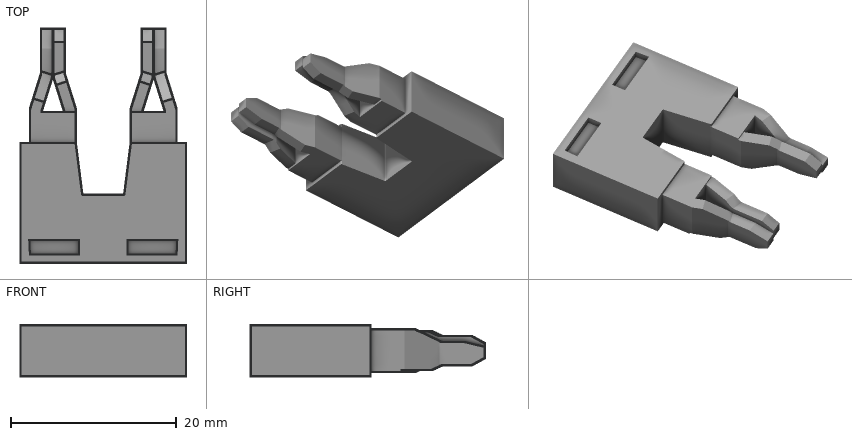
import cadquery as cq
import math

HOUSING_WIDTH = 20.0
HOUSING_LENGTH = 14.45
HOUSING_HEIGHT = 6.2
SLOT_FLOOR_Y = 8.22
SLOT_FLOOR_HALF_WIDTH = 2.51
SLOT_MOUTH_HALF_WIDTH = 3.3
SLOT_CORNER_RADIUS = 0.15

WINDOW_INNER_X = 2.95
WINDOW_OUTER_FRONT_X = 8.85
WINDOW_OUTER_BACK_X = 8.93
WINDOW_FRONT_Y = 1.0
WINDOW_BACK_Y = 2.77
WINDOW_DEPTH = 1.0

CONTACT_CENTRE_X = 6.07
CONTACT_HALF_WIDTH = 2.77
CONTACT_HALF_HEIGHT = 2.6
CONTACT_EMBED_DEPTH = 1.4
CONTACT_ROOT_Y = HOUSING_LENGTH - CONTACT_EMBED_DEPTH
FORK_FLOOR_Y = 18.2
TIP_Y = 28.25

LEG_HALF_GAP = 0.042
LEG_TIP_OUTER = 1.45
TIP_BEND_Y = 22.8
ROOT_BEND_Y = 18.55
INNER_BEND_END_Y = 22.95
INNER_BEND_START_Y = 22.25
LEG_THICKNESS = 1.45

STRONG_EDGE_TIP_Z = 0.45
STRONG_EDGE_MIDDLE_Z = 1.05
WEAK_EDGE_TIP_Z = 0.9
WEAK_EDGE_MIDDLE_Z = 1.78
WEAK_EDGE_ROOT_Z = 2.35
STRONG_TIP_TAPER_LENGTH = 2.45
WEAK_TIP_TAPER_LENGTH = 1.6

SLANT_TAPER_START = -0.28
STRONG_SLANT_TAPER_END = 3.14
WEAK_SLANT_TAPER_END = 0.95

CLEARANCE = 8.48

slant_angle = math.atan2(CONTACT_HALF_WIDTH - LEG_TIP_OUTER, TIP_BEND_Y - ROOT_BEND_Y)


def make_housing():
    block = cq.Workplane("XY").box(
        HOUSING_WIDTH, HOUSING_LENGTH, HOUSING_HEIGHT, centered=(True, False, True)
    )
    slot = (
        cq.Workplane("XY")
        .workplane(offset=-HOUSING_HEIGHT / 2)
        .moveTo(-SLOT_MOUTH_HALF_WIDTH, HOUSING_LENGTH)
        .lineTo(-SLOT_FLOOR_HALF_WIDTH, SLOT_FLOOR_Y)
        .lineTo(SLOT_FLOOR_HALF_WIDTH, SLOT_FLOOR_Y)
        .lineTo(SLOT_MOUTH_HALF_WIDTH, HOUSING_LENGTH)
        .close()
        .extrude(HOUSING_HEIGHT)
    )
    around_slot = cq.selectors.BoxSelector(
        (-HOUSING_WIDTH / 4, SLOT_FLOOR_Y - SLOT_CORNER_RADIUS, -HOUSING_HEIGHT),
        (HOUSING_WIDTH / 4, HOUSING_LENGTH + SLOT_CORNER_RADIUS, HOUSING_HEIGHT),
    )
    return block.cut(slot).edges("|Z").edges(around_slot).fillet(SLOT_CORNER_RADIUS)


def make_window():
    """Pocket on the +X side, open at the top face."""
    return (
        cq.Workplane("XY")
        .workplane(offset=HOUSING_HEIGHT / 2 - WINDOW_DEPTH)
        .moveTo(WINDOW_INNER_X, WINDOW_FRONT_Y)
        .lineTo(WINDOW_OUTER_FRONT_X, WINDOW_FRONT_Y)
        .lineTo(WINDOW_OUTER_BACK_X, WINDOW_BACK_Y)
        .lineTo(WINDOW_INNER_X, WINDOW_BACK_Y)
        .close()
        .extrude(WINDOW_DEPTH)
    )


def make_leg_plan():
    """Full-height leg with a straight tip and a stretch slanting outward to the root."""

    def slanted_inner_face(y):
        outer = LEG_TIP_OUTER + (TIP_BEND_Y - y) * math.tan(slant_angle)
        return outer - LEG_THICKNESS / math.cos(slant_angle)

    return (
        cq.Workplane("XY")
        .moveTo(LEG_HALF_GAP, TIP_Y)
        .lineTo(LEG_HALF_GAP, INNER_BEND_END_Y)
        .lineTo(slanted_inner_face(INNER_BEND_START_Y), INNER_BEND_START_Y)
        .lineTo(slanted_inner_face(FORK_FLOOR_Y), FORK_FLOOR_Y)
        .lineTo(CONTACT_HALF_WIDTH, FORK_FLOOR_Y)
        .lineTo(CONTACT_HALF_WIDTH, ROOT_BEND_Y)
        .lineTo(LEG_TIP_OUTER, TIP_BEND_Y)
        .lineTo(LEG_TIP_OUTER, TIP_Y)
        .close()
        .extrude(CONTACT_HALF_HEIGHT, both=True)
    )


def make_slant_profile():
    """Side profile of the slanted stretch, swept square to its slanted faces."""
    slant_plane = cq.Plane(
        origin=(LEG_TIP_OUTER, TIP_BEND_Y, 0),
        xDir=(math.sin(slant_angle), -math.cos(slant_angle), 0),
        normal=(math.cos(slant_angle), math.sin(slant_angle), 0),
    )
    return (
        cq.Workplane(slant_plane)
        .moveTo(-CLEARANCE, -STRONG_EDGE_MIDDLE_Z)
        .lineTo(SLANT_TAPER_START, -STRONG_EDGE_MIDDLE_Z)
        .lineTo(STRONG_SLANT_TAPER_END, -CONTACT_HALF_HEIGHT)
        .lineTo(CLEARANCE, -CONTACT_HALF_HEIGHT)
        .lineTo(CLEARANCE, WEAK_EDGE_ROOT_Z)
        .lineTo(WEAK_SLANT_TAPER_END, WEAK_EDGE_ROOT_Z)
        .lineTo(SLANT_TAPER_START, WEAK_EDGE_MIDDLE_Z)
        .lineTo(-CLEARANCE, WEAK_EDGE_MIDDLE_Z)
        .close()
        .extrude(CLEARANCE, both=True)
    )


def make_tip_taper(tip_z, middle_z, length):
    """Wedge removed from one edge of the tip; a negative height is the lower edge."""
    return (
        cq.Workplane("YZ")
        .moveTo(TIP_Y, tip_z)
        .lineTo(TIP_Y, middle_z)
        .lineTo(TIP_Y - length, middle_z)
        .close()
        .extrude(LEG_TIP_OUTER)
    )


def make_leg():
    """Leg on the +X side of the fork, with its strong taper on top."""
    strong_taper = make_tip_taper(STRONG_EDGE_TIP_Z, STRONG_EDGE_MIDDLE_Z, STRONG_TIP_TAPER_LENGTH)
    weak_taper = make_tip_taper(-WEAK_EDGE_TIP_Z, -WEAK_EDGE_MIDDLE_Z, WEAK_TIP_TAPER_LENGTH)
    return make_leg_plan().intersect(make_slant_profile()).cut(strong_taper).cut(weak_taper)


def make_contact():
    """Contact on the +X side; its inner leg is the outer one turned half a turn about Y."""
    root = cq.Workplane("XY").box(
        2 * CONTACT_HALF_WIDTH,
        FORK_FLOOR_Y - CONTACT_ROOT_Y,
        2 * CONTACT_HALF_HEIGHT,
        centered=(True, False, True),
    ).translate((0, CONTACT_ROOT_Y, 0))
    outer_leg = make_leg()
    inner_leg = outer_leg.rotate((0, 0, 0), (0, 1, 0), 180)
    return root.union(outer_leg).union(inner_leg).translate((CONTACT_CENTRE_X, 0, 0))


window = make_window()
contact = make_contact()

result = make_housing()
result = result.cut(window).cut(window.mirror("YZ"))
result = result.union(contact).union(contact.mirror("YZ"))